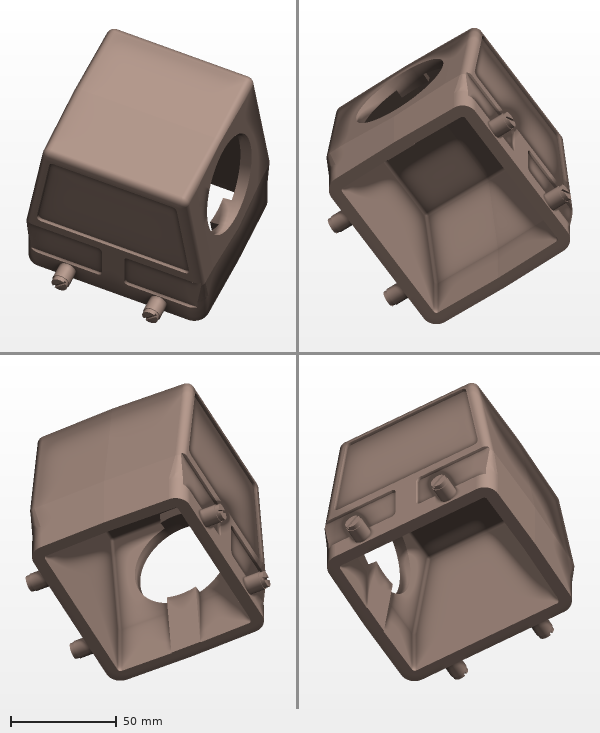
import cadquery as cq
import math

pin_span = 102.5
height = 94.0
half_width = 94.0 / 2
half_depth = 41.3

crown_slope = math.tan(math.radians(1.0))
crown_drop = half_depth * crown_slope
tilt = 8.0
tilt_slope = math.tan(math.radians(tilt))
bend_height = 30.0
flare_height = 14.9
lower_corner = 7.4
upper_corner = 4.0

wall = 5.9
cavity_corner = 1.5
rib_width = 15.4
rib_thickness = 4.1

entry_diameter = 50.0
entry_height = 60.1
flat_half_width = 28.7

recess_depth = 1.3
recess_draft = 18.0
panel_bottom = 37.6
panel_top = 88.4
panel_half_base = 40.0
panel_corner = 2.6
pocket_bottom = 10.7
pocket_top = 32.4
pocket_inner = 5.7
pocket_corner = 2.3

pin_x = 23.6
pin_z = 5.8
pin_diameter = 8.8
tip_diameter = 8.0
tip_length = 2.2
slot_width = 1.3
slot_angle = 45.0
slot_depth = 1.0


def crowned_section(z, half_x, half_y):
    """Six-sided section, slightly pointed at the middle of both end walls."""
    side_x = half_x - crown_drop
    return cq.Workplane("XY", origin=(0, 0, z)).polyline([
        (half_x, 0), (side_x, half_y), (-side_x, half_y),
        (-half_x, 0), (-side_x, -half_y), (side_x, -half_y),
    ]).close()


def leaning_block(section, lean):
    """The section carried from the bend to roof height, drifting along X by the lean per unit of rise."""
    rise = height - bend_height
    direction = cq.Vector(lean * rise, 0, rise)
    outline = section.wires().val()
    return cq.Workplane(cq.Solid.extrudeLinear(outline, [], direction))


def upper_block(half_x, half_y, ridge, radius):
    """Part above the bend: end walls leaning inwards under a low gable roof, with rounded edges."""
    section = crowned_section(bend_height, half_x, half_y)
    block = leaning_block(section, tilt_slope).intersect(leaning_block(section, -tilt_slope))
    half_gable = [(0, 0), (half_y, 0), (half_y, ridge - crown_drop), (0, ridge)]
    roof = cq.Workplane("YZ").polyline(half_gable).close().extrude(half_width, both=True)
    back = block.intersect(roof)
    corner_edges = back.faces(">Y").edges("not <Z")
    roof_end_edges = back.faces(">>Z").edges("not |X")
    back = corner_edges.add(roof_end_edges).fillet(radius)
    return back.union(back.mirror("XZ"))


def hood_block(inset, low_radius, high_radius):
    """Solid hood shape with all walls and the roof moved inwards by the inset.

    The corner radius changes from low to high between the flare height and the bend.
    """
    half_x = half_width - inset
    half_y = half_depth - inset
    upper = upper_block(half_x, half_y, height - inset, high_radius)
    foot = crowned_section(0, half_x, half_y).extrude(flare_height)
    foot = foot.edges("|Z and (<Y or >Y)").fillet(low_radius)
    flare = cq.Solid.makeLoft(
        [foot.faces(">Z").wires().val(), upper.faces("<Z").wires().val()], True
    )
    return foot.union(cq.Workplane(flare)).union(upper)


def entry_plane():
    """Plane on the flat of the +X wall, centred on the cable entry, facing outwards."""
    flat_inset = flat_half_width * crown_slope
    x = half_width - flat_inset - (entry_height - bend_height) * tilt_slope
    normal = (math.cos(math.radians(tilt)), 0, math.sin(math.radians(tilt)))
    return cq.Plane(origin=(x, 0, entry_height), xDir=(0, 1, 0), normal=normal)


def cavity():
    """Inside of the hood, leaving a rib down the middle of the entry wall."""
    inside = hood_block(wall, cavity_corner, cavity_corner)
    rib = (
        cq.Workplane(entry_plane())
        .rect(rib_width, 2 * height)
        .extrude(-(wall + rib_thickness))
    )
    return inside.cut(rib)


def face_recess(points, corner_radius):
    """Shallow drafted recess in the -Y face, outlined in X and Z."""
    outline = cq.Sketch().polygon(points + points[:1]).vertices().fillet(corner_radius)
    return (
        cq.Workplane("XZ", origin=(0, -half_depth, 0))
        .placeSketch(outline)
        .extrude(-recess_depth, taper=recess_draft)
    )


def front_recesses():
    """One large panel above two pockets that run out through the corners."""
    panel_half_top = panel_half_base - (panel_top - panel_bottom) * tilt_slope
    panel = face_recess(
        [
            (-panel_half_base, panel_bottom), (panel_half_base, panel_bottom),
            (panel_half_top, panel_top), (-panel_half_top, panel_top),
        ],
        panel_corner,
    )
    outer = half_width + 2 * pocket_corner
    recesses = panel
    for side in (-1, 1):
        pocket = face_recess(
            [
                (side * pocket_inner, pocket_bottom), (side * outer, pocket_bottom),
                (side * outer, pocket_top), (side * pocket_inner, pocket_top),
            ],
            pocket_corner,
        )
        recesses = recesses.union(pocket)
    return recesses


def front_pin(x):
    """Locking pin on the -Y face with a reduced tip and a diagonal screwdriver slot."""
    tip_y = -pin_span / 2
    root_y = -(half_depth - wall / 2)
    shank_end = tip_y + tip_length
    shank = (
        cq.Workplane("XZ", origin=(x, shank_end, pin_z))
        .circle(pin_diameter / 2)
        .extrude(shank_end - root_y)
    )
    tip = (
        cq.Workplane("XZ", origin=(x, tip_y, pin_z))
        .circle(tip_diameter / 2)
        .extrude(-tip_length)
    )
    slot = (
        cq.Workplane("XZ", origin=(x, tip_y, pin_z))
        .transformed(rotate=(0, 0, slot_angle))
        .rect(pin_diameter, slot_width)
        .extrude(-slot_depth)
    )
    return shank.union(tip).cut(slot)


def front_and_back(shape):
    """The shape together with its copy turned half a turn about Z."""
    return shape.union(shape.rotate((0, 0, 0), (0, 0, 1), 180))


hood = hood_block(0, lower_corner, upper_corner)

flat_cut = cq.Workplane(entry_plane()).rect(2 * flat_half_width, 4 * height).extrude(wall)
hood = hood.cut(flat_cut)

hood = hood.cut(front_and_back(front_recesses()))
hood = hood.cut(cavity())
entry = cq.Workplane(entry_plane()).circle(entry_diameter / 2).extrude(4 * wall, both=True)
hood = hood.cut(entry)

pins = front_and_back(front_pin(-pin_x).union(front_pin(pin_x)))
result = hood.union(pins)